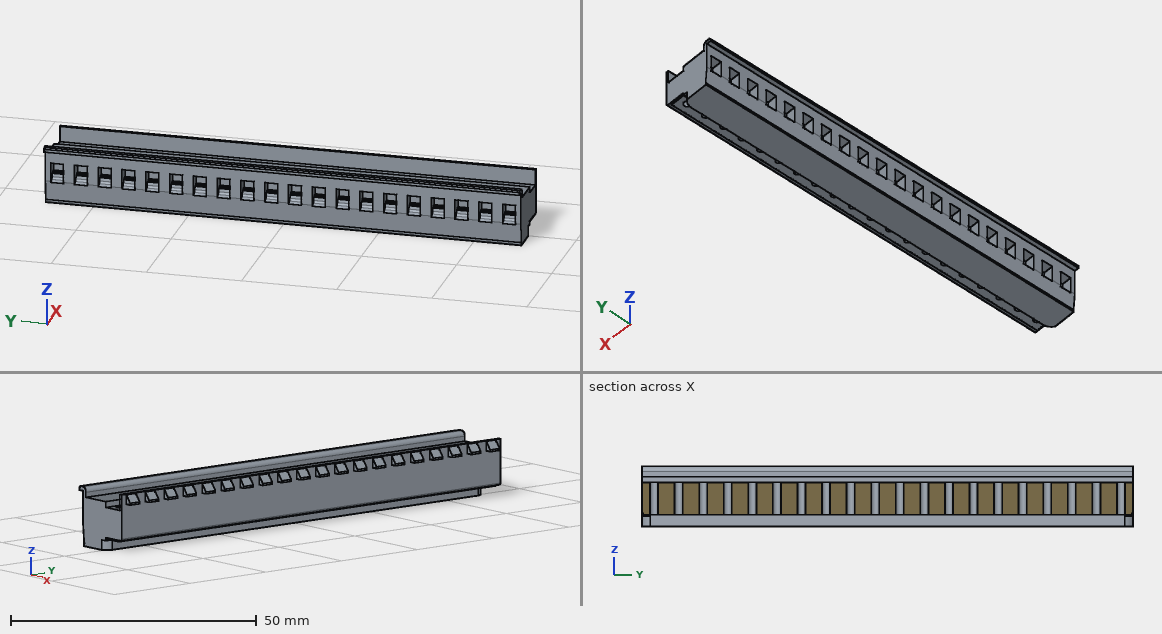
import cadquery as cq

length = 100.0
pole_count = 20
pole_pitch = length / pole_count

height = 12.3
wall_right = 12.4
plug_right = 7.3
shoulder_height = 10.2
trough_height = 9.0
arm_bottom = 2.7
arm_corner_radius = 0.5
draft_start = 4.8
draft_offset = 0.38

bead_offset = 0.3
bead_flare_start = 0.6
bead_flare_end = 0.3

left_rail_width = 1.0
right_rail_thickness = 0.6

lip_overhang = 1.1
lip_thickness = 0.9
lip_tip_chamfer = 0.3

pad_width = 3.9
pad_thickness = 0.3
pad_end_inset = 0.3

corner_height = 2.1
corner_width = 1.2
corner_depth = 1.7
corner_radius = 3.0

hole_diameter = 1.6
hole_x = 8.9

tooth_width = 2.5
tooth_reach = 1.2
tooth_top = 12.2
tooth_tip_top = 10.6
tooth_bottom = 10.2

window_width = 2.7
window_top = 8.7
window_depth = 2.5
sill_height = 4.5
sill_curve_start = (0.9, 4.9)
sill_curve_middle = (1.1, 5.1)
sill_curve_end = (1.2, 5.4)
hook_front = (1.4, 6.0)
hook_step_depth = 1.8
hook_step_height = 6.3


def extrude_along_y(profile, width, center_y=0.0):
    """Extrude a closed XZ sketch symmetrically about center_y."""
    return profile.extrude(width / 2, both=True).translate((0, center_y, 0))


def make_body():
    lip_bottom = height - lip_thickness
    profile = (
        cq.Workplane("XZ")
        .moveTo(bead_offset, 0)
        .lineTo(plug_right, 0)
        .lineTo(plug_right, arm_bottom)
        .lineTo(wall_right - arm_corner_radius, arm_bottom)
        .radiusArc((wall_right, arm_bottom + arm_corner_radius), -arm_corner_radius)
        .lineTo(wall_right, height)
        .lineTo(wall_right - right_rail_thickness, height)
        .lineTo(wall_right - right_rail_thickness, trough_height)
        .lineTo(plug_right, trough_height)
        .lineTo(plug_right, shoulder_height)
        .lineTo(left_rail_width, shoulder_height)
        .lineTo(left_rail_width, height - left_rail_width)
        .radiusArc((0, height), -left_rail_width)
        .lineTo(lip_tip_chamfer - lip_overhang, height)
        .lineTo(-lip_overhang, height - lip_tip_chamfer)
        .lineTo(-lip_overhang, lip_bottom)
        .lineTo(0, lip_bottom)
        .lineTo(0, draft_start)
        .lineTo(draft_offset, bead_flare_start)
        .lineTo(bead_offset, bead_flare_end)
        .close()
    )
    return extrude_along_y(profile, length)


def make_pad():
    pad_length = length - 2 * pad_end_inset
    pad = cq.Workplane("XY").box(pad_width, pad_length, pad_thickness, centered=(False, True, False))
    return pad.translate((plug_right, 0, arm_bottom - pad_thickness))


def make_corner_cut():
    """Material outside the rounded corner at the -Y end of the plug."""
    end_y = -length / 2
    return (
        cq.Workplane("XY")
        .moveTo(plug_right - corner_width, end_y)
        .radiusArc((plug_right, end_y + corner_depth), -corner_radius)
        .lineTo(plug_right, end_y)
        .close()
        .extrude(corner_height)
    )


def make_tooth(center_y):
    tip_x = wall_right + tooth_reach
    root_x = wall_right - right_rail_thickness / 2
    profile = cq.Workplane("XZ").polyline(
        [
            (root_x, tooth_bottom),
            (tip_x, tooth_bottom),
            (tip_x, tooth_tip_top),
            (wall_right, tooth_top),
            (root_x, tooth_top),
        ]
    ).close()
    return extrude_along_y(profile, tooth_width, center_y)


def make_window(center_y):
    """Window void, starting outside the wall so that it cuts through its face."""
    profile = (
        cq.Workplane("XZ")
        .moveTo(-lip_overhang, window_top)
        .lineTo(-lip_overhang, sill_height)
        .lineTo(0, sill_height)
        .lineTo(*sill_curve_start)
        .threePointArc(sill_curve_middle, sill_curve_end)
        .lineTo(*hook_front)
        .lineTo(hook_step_depth, hook_front[1])
        .lineTo(hook_step_depth, hook_step_height)
        .lineTo(window_depth, hook_step_height)
        .lineTo(window_depth, window_top)
        .close()
    )
    return extrude_along_y(profile, window_width, center_y)


def make_hole(center_y):
    return cq.Workplane("XY").center(hole_x, center_y).circle(hole_diameter / 2).extrude(height)


corner_cut = make_corner_cut()
result = make_body().union(make_pad()).cut(corner_cut).cut(corner_cut.mirror("XZ"))

for pole in range(pole_count):
    pole_y = (pole + 0.5) * pole_pitch - length / 2
    result = result.union(make_tooth(pole_y))
    result = result.cut(make_window(pole_y)).cut(make_hole(pole_y))